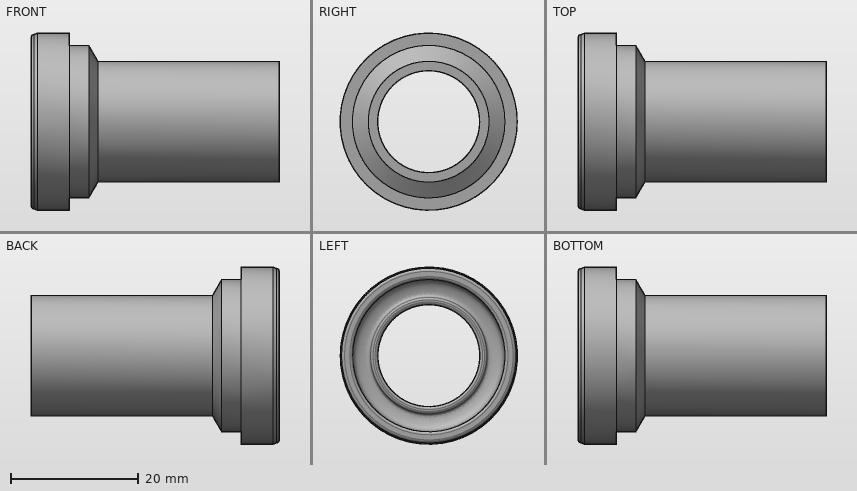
import cadquery as cq
import math

LENGTH = 39.0
FLANGE_DIAMETER = 27.9
COLLAR_DIAMETER = 24.0
TUBE_DIAMETER = 19.0
BORE_DIAMETER = 16.0

FLANGE_BACK = 6.0
COLLAR_BACK = 9.05
CONE_END = 10.5
RIM_TAPER_END = 0.98

RIM_RADIUS = 13.73
RIM_FILLET = 0.45

GROOVE_OUTER_RADIUS = 11.97
GROOVE_INNER_RADIUS = 9.15
GROOVE_DEPTH = 3.45
GROOVE_BOTTOM_RADIUS = 10.53
LIP_DEPTH = 2.45
LIP_OUTER_FILLET = 0.4
LIP_INNER_FILLET = 0.45

flange_radius = FLANGE_DIAMETER / 2
collar_radius = COLLAR_DIAMETER / 2
tube_radius = TUBE_DIAMETER / 2
bore_radius = BORE_DIAMETER / 2


def add_round(profile, start, end, center, radius):
    """Continue the profile with a convex quarter round between two points."""
    to_middle = ((start[0] + end[0]) / 2 - center[0], (start[1] + end[1]) / 2 - center[1])
    reach = radius / math.hypot(*to_middle)
    middle = (center[0] + to_middle[0] * reach, center[1] + to_middle[1] * reach)
    return profile.threePointArc(middle, end)


def outer_profile():
    """Trace from the bore end of the tube to the rounded flange rim."""
    profile = (
        cq.Workplane("XY")
        .moveTo(LENGTH, bore_radius)
        .lineTo(LENGTH, tube_radius)
        .lineTo(CONE_END, tube_radius)
        .lineTo(COLLAR_BACK, collar_radius)
        .lineTo(FLANGE_BACK, collar_radius)
        .lineTo(FLANGE_BACK, flange_radius)
        .lineTo(RIM_TAPER_END, flange_radius)
        .lineTo(RIM_FILLET, RIM_RADIUS)
    )
    face_edge = RIM_RADIUS - RIM_FILLET
    return add_round(
        profile, (RIM_FILLET, RIM_RADIUS), (0, face_edge), (RIM_FILLET, face_edge), RIM_FILLET
    )


def add_groove_and_lip(profile):
    """Continue across the flange face, around the groove and over the lip to the bore."""
    face_inner_radius = GROOVE_OUTER_RADIUS + RIM_FILLET
    profile = profile.lineTo(0, face_inner_radius)
    profile = add_round(
        profile,
        (0, face_inner_radius),
        (RIM_FILLET, GROOVE_OUTER_RADIUS),
        (RIM_FILLET, face_inner_radius),
        RIM_FILLET,
    )

    lip_outer_start = (LIP_DEPTH + LIP_OUTER_FILLET, GROOVE_INNER_RADIUS)
    lip_face_outer = (LIP_DEPTH, GROOVE_INNER_RADIUS - LIP_OUTER_FILLET)
    profile = profile.spline(
        [(GROOVE_DEPTH, GROOVE_BOTTOM_RADIUS), lip_outer_start],
        tangents=[(1, 0), (-1, 0)],
        includeCurrent=True,
    )
    profile = add_round(
        profile, lip_outer_start, lip_face_outer, (lip_outer_start[0], lip_face_outer[1]), LIP_OUTER_FILLET
    )

    lip_face_inner = (LIP_DEPTH, bore_radius + LIP_INNER_FILLET)
    bore_start = (LIP_DEPTH + LIP_INNER_FILLET, bore_radius)
    profile = profile.lineTo(*lip_face_inner)
    return add_round(
        profile, lip_face_inner, bore_start, (bore_start[0], lip_face_inner[1]), LIP_INNER_FILLET
    )


result = add_groove_and_lip(outer_profile()).close().revolve(360, (0, 0, 0), (1, 0, 0))